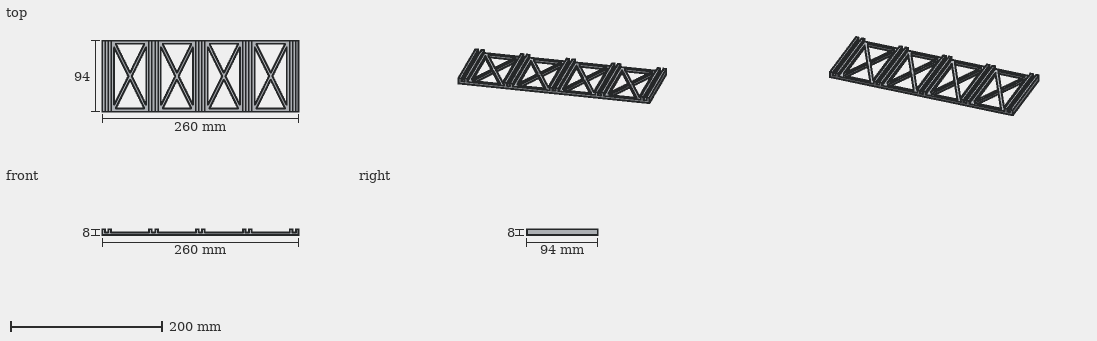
import cadquery as cq
import math

length = 260.0
width = 94.0
height = 8.0
base_thickness = 4.0

bay_count = 4
rail_width = 4.0
channel_width = 4.2
pair_width = 2 * rail_width + channel_width
bay_pitch = (length - pair_width) / bay_count

window_side_gap = 4.0
end_border = 4.5
brace_width = 4.2
window_length = bay_pitch - pair_width - 2 * window_side_gap
window_width = width - 2 * end_border
brace_angle = math.degrees(math.atan2(window_width, window_length))
brace_length = math.hypot(window_length, window_width)


def box_from_left(left, bottom, size_x, size_z):
    """Full-width box given by its left face and its underside."""
    return (
        cq.Workplane("XY")
        .box(size_x, width, size_z, centered=(False, True, False))
        .translate((left, 0, bottom))
    )


def window_block():
    return cq.Workplane("XY").box(
        window_length, window_width, base_thickness, centered=(True, True, False)
    )


def cross_brace():
    """Two diagonal bars joining opposite corners of a window."""
    bar = cq.Workplane("XY").box(
        brace_length + 2 * brace_width, brace_width, base_thickness,
        centered=(True, True, False),
    )
    axis_start, axis_end = (0, 0, 0), (0, 0, 1)
    rising = bar.rotate(axis_start, axis_end, brace_angle)
    falling = bar.rotate(axis_start, axis_end, -brace_angle)
    return rising.union(falling).intersect(window_block())


left_end = -length / 2
result = box_from_left(left_end, 0, length, base_thickness)

opening = window_block().cut(cross_brace())
for bay in range(bay_count):
    bay_center = (bay - (bay_count - 1) / 2) * bay_pitch
    result = result.cut(opening.translate((bay_center, 0, 0)))

for pair in range(bay_count + 1):
    pair_left = left_end + pair * bay_pitch
    for rail_left in (pair_left, pair_left + rail_width + channel_width):
        rail = box_from_left(rail_left, base_thickness, rail_width, height - base_thickness)
        result = result.union(rail)